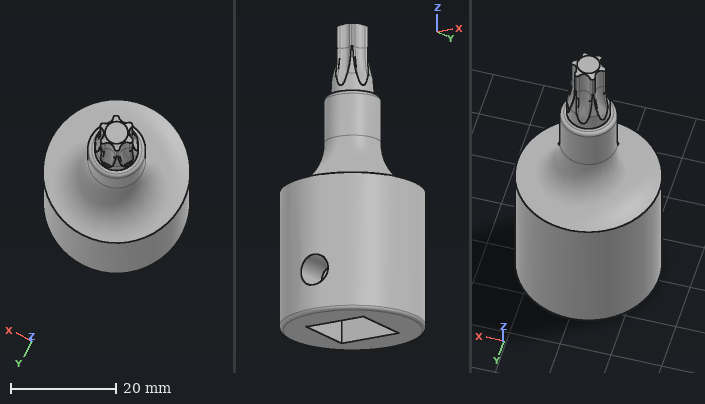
import cadquery as cq
import math

TOTAL_HEIGHT = 60.3
BODY_RADIUS = 14.0
BODY_TOP = 27.1
BODY_EDGE_FILLET = 0.7
NECK_RADIUS = 5.5
NECK_BOTTOM = 37.0
NECK_TOP = 46.05
NECK_EDGE_FILLET = 0.7

DRIVE_WIDTH = 12.7
DRIVE_DEPTH = 15.7
PIN_HOLE_RADIUS = 3.0
PIN_HOLE_HEIGHT = 8.4

LOBE_COUNT = 6
TIP_RADIUS = 3.45
TIP_BOTTOM = 55.35
TIP_FLAT_RADIUS = 2.2
TIP_CHAMFER_HEIGHT = 0.5
FLARE_BOTTOM = 49.75
SHANK_RADIUS = 4.15
SHANK_BOTTOM = BODY_TOP

ROOT_RADIUS = 2.4
FLUTE_ARC_RADIUS = 1.4
CREST_TRIM = 0.02
CREST_RADIUS = TIP_RADIUS + CREST_TRIM
FLUTE_BOTTOM = 47.45
FLUTE_CLEARANCE_RADIUS = 5.4


def concave_arc_point(top, bottom):
    """Middle of the arc that leaves `top` straight down and curves outwards to `bottom`.

    Both points are given as (radius, height).
    """
    outward = bottom[0] - top[0]
    down = top[1] - bottom[1]
    arc_radius = (outward**2 + down**2) / (2 * outward)
    half_angle = math.atan2(outward, down)
    return (
        top[0] + arc_radius * (1 - math.cos(half_angle)),
        top[1] - arc_radius * math.sin(half_angle),
    )


def turned(profile):
    """Solid of revolution about Z from a closed outline drawn as (radius, height)."""
    return profile.close().revolve(360, (0, 0, 0), (0, 1, 0))


def make_socket():
    body_edge = (BODY_RADIUS, BODY_TOP)
    neck_foot = (NECK_RADIUS, NECK_BOTTOM)
    outline = (
        cq.Workplane("XZ")
        .lineTo(BODY_RADIUS, 0)
        .lineTo(*body_edge)
        .threePointArc(concave_arc_point(neck_foot, body_edge), neck_foot)
        .lineTo(NECK_RADIUS, NECK_TOP)
        .lineTo(0, NECK_TOP)
    )
    socket = turned(outline)
    socket = socket.faces("<Z").edges().fillet(BODY_EDGE_FILLET)
    socket = socket.faces(">Z").edges().fillet(NECK_EDGE_FILLET)

    drive_recess = cq.Workplane("XY").rect(DRIVE_WIDTH, DRIVE_WIDTH).extrude(DRIVE_DEPTH)
    pin_hole = (
        cq.Workplane("XZ")
        .center(0, PIN_HOLE_HEIGHT)
        .circle(PIN_HOLE_RADIUS)
        .extrude(BODY_RADIUS)
    )
    shank_hole = (
        cq.Workplane("XY", origin=(0, 0, SHANK_BOTTOM))
        .circle(SHANK_RADIUS)
        .extrude(NECK_TOP - SHANK_BOTTOM)
    )
    return socket.cut(drive_recess).cut(pin_hole).cut(shank_hole)


def make_bit_blank():
    tip_foot = (TIP_RADIUS, TIP_BOTTOM)
    flare_end = (SHANK_RADIUS, FLARE_BOTTOM)
    outline = (
        cq.Workplane("XZ")
        .moveTo(0, SHANK_BOTTOM)
        .lineTo(SHANK_RADIUS, SHANK_BOTTOM)
        .lineTo(*flare_end)
        .threePointArc(concave_arc_point(tip_foot, flare_end), tip_foot)
        .lineTo(TIP_RADIUS, TOTAL_HEIGHT - TIP_CHAMFER_HEIGHT)
        .lineTo(TIP_FLAT_RADIUS, TOTAL_HEIGHT)
        .lineTo(0, TOTAL_HEIGHT)
    )
    return turned(outline)


def flute_profile():
    """Gap between two lobes: a concave root arc running smoothly into a convex arc on each lobe."""
    half_pitch = math.pi / LOBE_COUNT
    flute_center = ROOT_RADIUS + FLUTE_ARC_RADIUS

    reach = flute_center * math.cos(half_pitch)
    lobe_arc_radius = (
        (flute_center**2 + CREST_RADIUS**2 - 2 * CREST_RADIUS * reach - FLUTE_ARC_RADIUS**2)
        / (2 * (FLUTE_ARC_RADIUS + CREST_RADIUS - reach))
    )
    lobe_center = CREST_RADIUS - lobe_arc_radius
    lobe_x = lobe_center * math.sin(half_pitch)
    lobe_y = lobe_center * math.cos(half_pitch)

    share = FLUTE_ARC_RADIUS / (FLUTE_ARC_RADIUS + lobe_arc_radius)
    touch_x = share * lobe_x
    touch_y = flute_center + share * (lobe_y - flute_center)
    crest_x = CREST_RADIUS * math.sin(half_pitch)
    crest_y = CREST_RADIUS * math.cos(half_pitch)

    touch_angle = math.atan2(touch_y - lobe_y, touch_x - lobe_x)
    crest_angle = math.atan2(crest_y - lobe_y, crest_x - lobe_x)
    middle_angle = (touch_angle + crest_angle) / 2
    middle_x = lobe_x + lobe_arc_radius * math.cos(middle_angle)
    middle_y = lobe_y + lobe_arc_radius * math.sin(middle_angle)

    return (
        cq.Workplane("XY", origin=(0, 0, TIP_BOTTOM))
        .moveTo(crest_x, FLUTE_CLEARANCE_RADIUS)
        .lineTo(crest_x, crest_y)
        .threePointArc((middle_x, middle_y), (touch_x, touch_y))
        .threePointArc((0, ROOT_RADIUS), (-touch_x, touch_y))
        .threePointArc((-middle_x, middle_y), (-crest_x, crest_y))
        .lineTo(-crest_x, FLUTE_CLEARANCE_RADIUS)
        .close()
    )


def make_flute():
    """One flute: straight along the tip, then curving outwards until it leaves the shank."""
    outward = SHANK_RADIUS - ROOT_RADIUS
    down = TIP_BOTTOM - FLUTE_BOTTOM
    sweep_radius = (outward**2 + down**2) / (2 * outward)
    sweep_angle = 2 * math.degrees(math.atan2(outward, down))
    axis_y = ROOT_RADIUS + sweep_radius

    straight = flute_profile().extrude(TOTAL_HEIGHT - TIP_BOTTOM)
    run_out = flute_profile().revolve(sweep_angle, (0, axis_y, 0), (1, axis_y, 0))
    return straight.union(run_out)


def make_bit():
    bit = make_bit_blank()
    pitch = 360 / LOBE_COUNT
    flute = make_flute()
    for index in range(LOBE_COUNT):
        bit = bit.cut(flute.rotate((0, 0, 0), (0, 0, 1), index * pitch))
    return bit


socket = make_socket()
bit = make_bit()

result = cq.Compound.makeCompound([socket.val(), bit.val()])